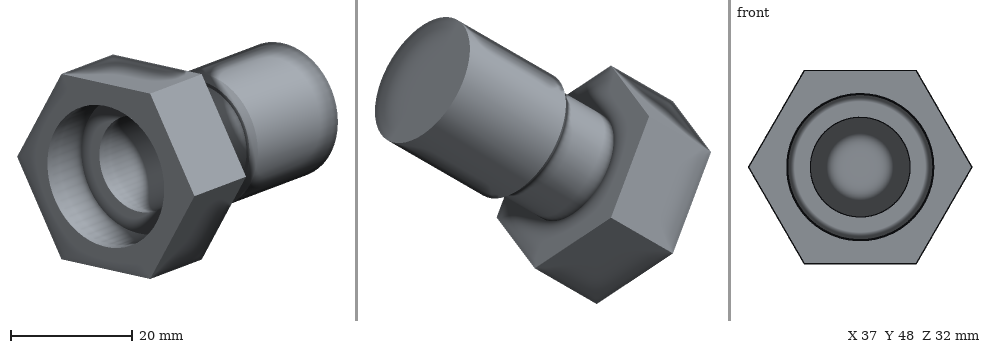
import cadquery as cq
import math


total_length = 48.0

nut_across_flats = 32.0
nut_across_corners = nut_across_flats / math.cos(math.radians(30))
nut_length = 14.0
nut_bore_diameter = 24.33
nut_bore_depth = 12.0

flange_diameter = 24.0
flange_face_y = 9.0
neck_diameter = 19.8
sleeve_diameter = 23.0
sleeve_start_y = 25.3
sleeve_chamfer = 1.0
tail_bore_diameter = 16.5
tail_end_wall = (neck_diameter - tail_bore_diameter) / 2


def cylinder_y(diameter, start_y, end_y):
    """Solid cylinder on the Y axis between two Y positions."""
    start_plane = cq.Workplane("XZ", origin=(0, start_y, 0))
    return start_plane.circle(diameter / 2).extrude(start_y - end_y)


def make_nut():
    """Hexagonal nut with flats facing +Z and -Z, a wide bore and a hole for the neck."""
    hexagon = cq.Workplane("XZ").polygon(6, nut_across_corners).extrude(-nut_length)
    wide_bore = cylinder_y(nut_bore_diameter, 0, nut_bore_depth)
    neck_hole = cylinder_y(neck_diameter, 0, nut_length)
    return hexagon.cut(wide_bore).cut(neck_hole)


def make_tail():
    """Flange, neck and chamfered sleeve in one piece, with a blind bore from the flange face."""
    flange = cylinder_y(flange_diameter, flange_face_y, nut_bore_depth)
    neck = cylinder_y(neck_diameter, flange_face_y, sleeve_start_y)
    sleeve = cylinder_y(sleeve_diameter, sleeve_start_y, total_length)
    sleeve = sleeve.faces("<Y").chamfer(sleeve_chamfer)
    bore = cylinder_y(tail_bore_diameter, flange_face_y, total_length - tail_end_wall)
    return flange.union(neck).union(sleeve).cut(bore)


nut = make_nut()
tail = make_tail()

result = cq.Compound.makeCompound([nut.val(), tail.val()])